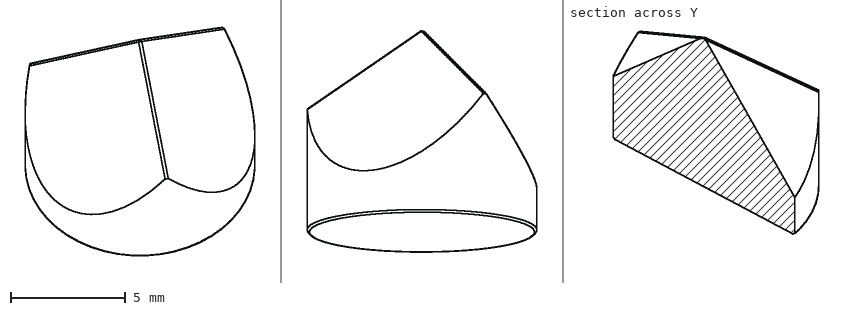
import cadquery as cq
import math

diameter = 10.0
height = 8.88
base_chamfer = 0.1
edge_chamfer = 0.1
first_edge_angle = -18.0

sharp_apex_height = height + 2 * edge_chamfer / math.sqrt(3)
cube_side = 2 * sharp_apex_height


def roof_edge_direction(index):
    """Unit vector down one cube edge, with the cube's diagonal upright."""
    angle = math.radians(first_edge_angle + 120 * index)
    spread = math.sqrt(2 / 3)
    return cq.Vector(spread * math.cos(angle), spread * math.sin(angle), -1 / math.sqrt(3))


def make_rod():
    rod = cq.Workplane("XY").circle(diameter / 2).extrude(sharp_apex_height)
    return rod.faces("<Z").chamfer(base_chamfer)


def make_corner_cube():
    """Cube standing on its diagonal, with the three edges at its top corner chamfered."""
    cube = cq.Workplane("XY").box(cube_side, cube_side, cube_side, centered=False)
    selection_reach = 0.6 * cube_side
    near_corner = cq.selectors.BoxSelector((-0.1, -0.1, -0.1), (selection_reach,) * 3)
    cube = cube.edges(near_corner).chamfer(edge_chamfer)
    tilted = cq.Plane(
        origin=(0, 0, sharp_apex_height),
        xDir=roof_edge_direction(1),
        normal=roof_edge_direction(2),
    )
    return cq.Workplane("XY").newObject([cube.val().moved(cq.Location(tilted))])


result = make_rod().intersect(make_corner_cube())